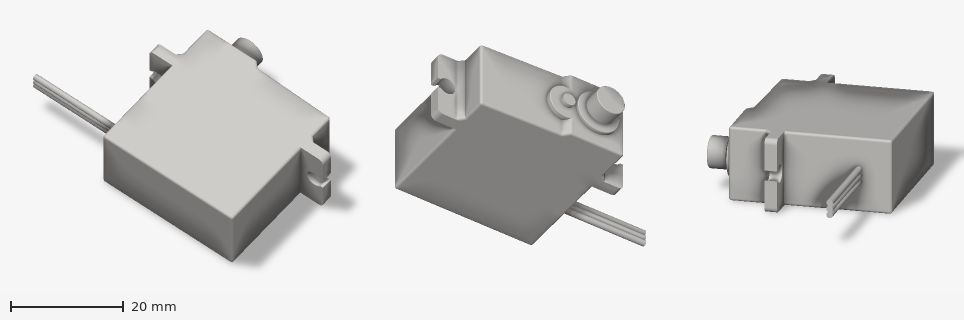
import cadquery as cq

total_length = 54.25
total_height = 34.85
case_length = 29.3
case_thickness = 13.8
case_height = 30.0
edge_radius = 0.5

step_x = 11.25
step_run = 1.15
step_drop = 1.2
lid_end_height = 28.25
lid_start_height = case_height - step_drop

lug_reach = 5.0
lug_bottom = 19.75
lug_thickness = 2.3
lug_top = lug_bottom + lug_thickness
lug_corner_radius = 1.05
gusset_size = 1.15
hole_diameter = 3.35
hole_edge_distance = 1.95
slot_width = 2.05

shaft_x = 5.9
head_diameter = 5.9
rim_chamfer = 0.1
neck_diameter = 4.65
neck_top = 31.35
flange_diameter = 8.8
flange_top = 30.85

boss_x = 12.2
boss_diameter = 7.0
pin_diameter = 2.55
pin_top = flange_top

wire_count = 3
wire_diameter = 1.2
wire_pitch = 1.15
wire_height = 5.95
wire_length = total_length - case_length - lug_reach


def make_case():
    """Case with gussets; the gusset feet run on to the middle of the lugs and end hidden inside them."""
    foot_y = lug_bottom + lug_thickness / 2
    gusset_top = lug_top + gusset_size
    foot_reach = gusset_top - foot_y
    outline = [
        (0, 0),
        (case_length, 0),
        (case_length, foot_y),
        (case_length + foot_reach, foot_y),
        (case_length, gusset_top),
        (case_length, lid_end_height),
        (step_x + step_run, lid_start_height),
        (step_x, case_height),
        (0, case_height),
        (0, gusset_top),
        (-foot_reach, foot_y),
        (0, foot_y),
    ]
    case = (
        cq.Workplane("XY")
        .polyline(outline)
        .close()
        .extrude(case_thickness / 2, both=True)
    )
    outer_corners = [
        (0, 0),
        (case_length, 0),
        (case_length, lid_end_height),
        (step_x + step_run, lid_start_height),
        (step_x, case_height),
        (0, case_height),
    ]
    for x, y in outer_corners:
        corner_edge = cq.selectors.NearestToPointSelector((x, y, 0))
        case = case.edges("|Z").edges(corner_edge).fillet(edge_radius)
    return case.faces("|Z").edges().fillet(edge_radius)


def make_lugs():
    """Plate through the case whose two ends are the lugs."""
    return (
        cq.Workplane("XY")
        .box(case_length + 2 * lug_reach, lug_thickness, case_thickness)
        .edges("|Y")
        .fillet(lug_corner_radius)
        .translate((case_length / 2, lug_bottom + lug_thickness / 2, 0))
    )


def make_screw_openings():
    """Screw hole in each lug, open to the lug's tip through a narrower slot."""
    openings = cq.Workplane("XY")
    for tip_x, inward in ((-lug_reach, 1), (case_length + lug_reach, -1)):
        hole_x = tip_x + inward * hole_edge_distance
        hole = disc(hole_x, hole_diameter, lug_bottom, lug_top)
        slot = (
            cq.Workplane("XY")
            .box(hole_edge_distance, lug_thickness, slot_width)
            .translate(((tip_x + hole_x) / 2, lug_bottom + lug_thickness / 2, 0))
        )
        openings = openings.union(hole).union(slot)
    return openings


def disc(x, diameter, bottom, top):
    """Cylinder along Y on the mid-plane of the case."""
    return (
        cq.Workplane("XZ", origin=(x, bottom, 0))
        .circle(diameter / 2)
        .extrude(bottom - top)
    )


def break_rim(cylinder):
    """Small chamfer around the outward (+Y) face."""
    return cylinder.faces(">Y").edges().chamfer(rim_chamfer)


def make_shaft():
    flange = disc(shaft_x, flange_diameter, lid_end_height, flange_top)
    neck = disc(shaft_x, neck_diameter, lid_end_height, neck_top)
    head = disc(shaft_x, head_diameter, neck_top, total_height)
    return break_rim(flange).union(neck).union(break_rim(head))


def make_boss():
    boss_bottom = lid_end_height - edge_radius
    boss = disc(boss_x, boss_diameter, boss_bottom, case_height)
    pin = disc(boss_x, pin_diameter, boss_bottom, pin_top)
    return break_rim(boss).union(pin)


def make_wires():
    """Row of slightly overlapping round wires, rooted inside the case."""
    root_depth = edge_radius
    offsets = [(i - (wire_count - 1) / 2) * wire_pitch for i in range(wire_count)]
    return (
        cq.Workplane("YZ", origin=(-wire_length, 0, 0))
        .pushPoints([(wire_height, z) for z in offsets])
        .circle(wire_diameter / 2)
        .extrude(wire_length + root_depth)
    )


result = (
    make_case()
    .union(make_lugs())
    .cut(make_screw_openings())
    .union(make_shaft())
    .union(make_boss())
    .union(make_wires())
)